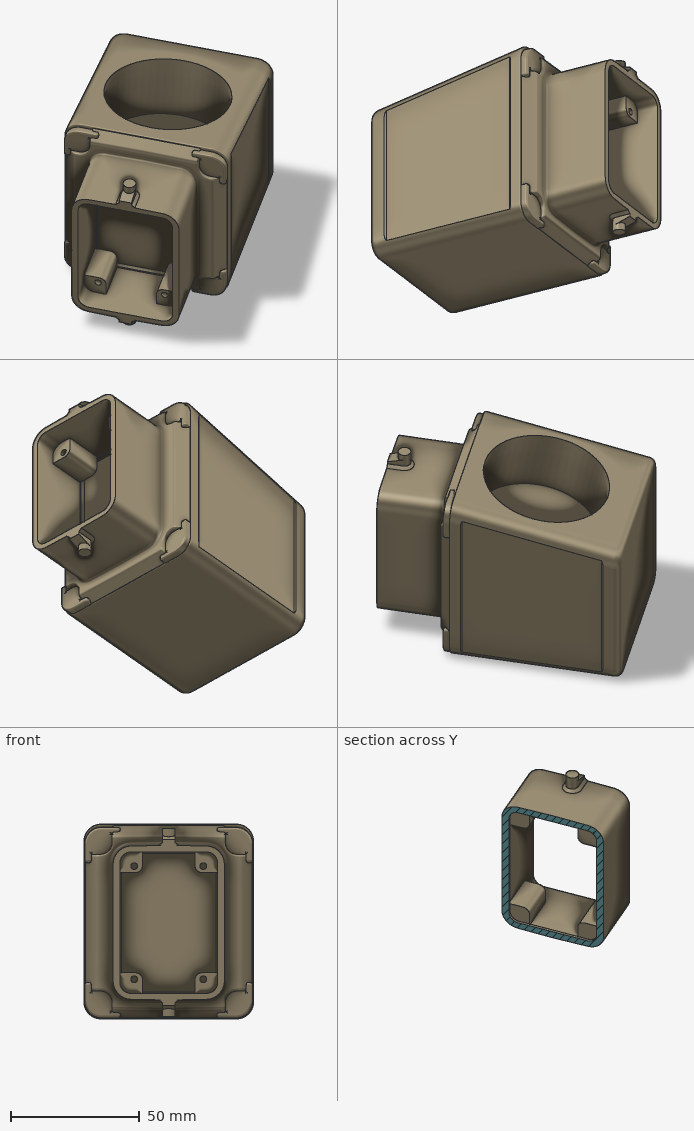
import cadquery as cq
import math


length = 99.5
width = 66.0
height = 75.8
slope_angle = 10.0
hood_front_y = 31.4
crown_drop = 0.4
hood_corner_radius = 6.8
back_edge_radius = 2.8
front_edge_radius = 0.6

recess_front_y = 36.5
recess_back_y = 91.9
recess_depth = 0.4
recess_end_run = 0.7

socket_diameter = 49.7
socket_depth = 25.5
socket_y = 62.8

flange_front_y = 27.0
root_inset = 0.4
flange_face_width = 56.1
flange_face_height = 68.25
flange_edge_radius = 2.0

pad_face_y = 28.7
pad_inner_x = 22.0
pad_leg = 10.4
pad_inner_radius = 4.6
tongue_width = 2.7
side_tongue_length = 3.3
top_tongue_length = 3.2
pad_edge_radius = 0.9
pocket_rim_radius = 0.9

axis_z = 37.4
tube_width = 43.2
tube_height = 60.1
tube_corner_radius = 7.0
tube_wall = 2.6
bore_depth = 24.8
floor_y = 26.7
floor_lip = 0.6
root_radius = 1.4

post_x = 13.4
post_spacing_z = 44.0
post_reach_x = 3.3
post_reach_z = 2.6
post_corner_radius = 2.9
post_front_y = 9.0
screw_hole_diameter = 2.6
screw_hole_depth = 9.9

peg_diameter = 5.0
peg_y = 6.3
peg_top = 36.5
saddle_width = 7.8
saddle_height = 1.2
saddle_sink = 0.1
ramp_low = 32.2
ramp_high = 34.1

slope = math.radians(slope_angle)
pad_outer_x = width / 2 - root_inset
pad_outer_z = 2 * axis_z - root_inset
pad_inner_z = pad_outer_z - pad_leg


def crowned_points(half_width, bottom, top):
    """Corners of a rectangle whose bottom and top sides bulge out at the centre."""
    return [
        (-half_width, bottom + crown_drop),
        (0, bottom),
        (half_width, bottom + crown_drop),
        (half_width, top - crown_drop),
        (0, top),
        (-half_width, top - crown_drop),
    ]


def plane_at(y):
    """Plane facing +Y whose local axes are -X and Z."""
    return cq.Workplane("XZ", origin=(0, y, 0)).transformed(rotate=(0, 180, 0))


def in_four_quadrants(body):
    """Copies of a body mirrored about the planes x = 0 and z = axis_z."""
    pair = body.union(body.mirror("YZ"))
    return pair.union(pair.mirror("XY", (0, 0, axis_z)))


def roof_z(y):
    return height - (y - hood_front_y) * math.tan(slope)


def make_hood():
    hood = (
        cq.Workplane("YZ")
        .moveTo(hood_front_y, 0)
        .lineTo(length, 0)
        .lineTo(length, roof_z(length))
        .lineTo(hood_front_y, height)
        .close()
        .extrude(width / 2, both=True)
    )
    corner_edges = hood.faces("<Z or >Z").edges("not |X")
    hood = corner_edges.fillet(hood_corner_radius)
    hood = hood.faces(">Y").edges().fillet(back_edge_radius)
    return hood.faces("<Y").edges().fillet(front_edge_radius)


def make_recess():
    inner_x = width / 2 - recess_depth
    return (
        cq.Workplane("XY")
        .moveTo(width / 2, recess_front_y - recess_end_run)
        .lineTo(inner_x, recess_front_y)
        .lineTo(inner_x, recess_back_y)
        .lineTo(width / 2, recess_back_y + recess_end_run)
        .close()
        .extrude(height)
    )


def make_socket():
    roof = cq.Plane(
        origin=(0, socket_y, roof_z(socket_y)),
        xDir=(1, 0, 0),
        normal=(0, math.sin(slope), math.cos(slope)),
    )
    socket = cq.Workplane(roof).workplane(offset=-socket_depth)
    return socket.circle(socket_diameter / 2).extrude(2 * socket_depth)


def box_between(low, high):
    size_x, size_y, size_z = (end - start for start, end in zip(low, high))
    return cq.Workplane("XY").box(size_x, size_y, size_z, centered=False).translate(low)


def make_pad_block(front_y, back_y, outer_x, outer_z):
    """Square area of the pad in the top +X corner, with its inner corner rounded."""
    block = box_between((pad_inner_x, front_y, pad_inner_z), (outer_x, back_y, outer_z))
    return block.edges("|Y and <X and <Z").fillet(pad_inner_radius)


def make_pad():
    back_y = hood_front_y + front_edge_radius
    outer_corner = (pad_outer_x, back_y, pad_outer_z)
    top_tongue = (pad_inner_x - top_tongue_length, pad_face_y, pad_outer_z - tongue_width)
    side_tongue = (pad_outer_x - tongue_width, pad_face_y, pad_inner_z - side_tongue_length)
    pad = make_pad_block(pad_face_y, back_y, pad_outer_x, pad_outer_z)
    pad = pad.union(box_between(top_tongue, outer_corner))
    pad = pad.union(box_between(side_tongue, outer_corner))
    pad = pad.edges("|Y and >X and >Z").fillet(hood_corner_radius - root_inset)
    pad = pad.edges("|Y and (<X or <Z)").fillet(pad_edge_radius)
    pad = pad.faces("<Y").edges().fillet(pad_edge_radius)
    sharp_edged_core = make_pad_block(
        pad_face_y, hood_front_y, pad_outer_x - tongue_width, pad_outer_z - tongue_width
    )
    return pad.union(sharp_edged_core)


def make_flange():
    half_height = flange_face_height / 2
    root_points = crowned_points(pad_outer_x, root_inset, height - root_inset)
    face_points = crowned_points(
        flange_face_width / 2, axis_z - half_height, axis_z + half_height
    )
    flange = (
        plane_at(flange_front_y).polyline(face_points).close()
        .workplane(offset=hood_front_y - flange_front_y).polyline(root_points).close()
        .loft(ruled=True)
    )
    flange = flange.faces("<Y").edges().fillet(flange_edge_radius)
    pockets = in_four_quadrants(make_pad_block(flange_front_y, hood_front_y, width / 2, height))
    return flange.cut(pockets).faces("<Y").edges().fillet(pocket_rim_radius)


def make_tube():
    half_height = tube_height / 2
    points = crowned_points(tube_width / 2, axis_z - half_height, axis_z + half_height)
    tube = plane_at(0).polyline(points).close().extrude(hood_front_y)
    corner_edges = tube.edges("|Y").filter(lambda edge: abs(edge.Center().x) > tube_width / 4)
    return corner_edges.fillet(tube_corner_radius)


def make_bore(inset, depth):
    """Rounded opening from the tube mouth, inset from the straight bore wall."""
    bore_width = tube_width - 2 * (tube_wall + inset)
    bore_height = tube_height - 2 * (tube_wall + inset)
    outline = cq.Sketch().rect(bore_width, bore_height)
    outline = outline.vertices().fillet(tube_corner_radius - tube_wall - inset)
    return plane_at(0).center(0, axis_z).placeSketch(outline).extrude(depth)


def make_posts():
    """Four drilled screw posts, reaching past the bore wall into the tube corners."""
    post_z = axis_z + post_spacing_z / 2
    post = box_between(
        (post_x - post_reach_x, post_front_y, post_z - post_reach_z),
        (tube_width / 2, bore_depth, axis_z + tube_height / 2),
    )
    post = post.edges("|Y and <X and <Z").fillet(post_corner_radius)
    hole = plane_at(post_front_y).center(-post_x, post_z)
    hole = hole.circle(screw_hole_diameter / 2).extrude(screw_hole_depth)
    return in_four_quadrants(post.cut(hole))


def make_peg():
    """Upper locking peg with its tapered saddle and lead-in ramp."""
    tube_top = axis_z + tube_height / 2
    buried = 1.0
    inset = (saddle_width - peg_diameter) / 2
    taper = math.degrees(math.atan(inset / saddle_height))
    half = saddle_width / 2
    base = cq.Workplane("XY", origin=(0, 0, tube_top - saddle_sink))
    saddle = (
        base.moveTo(-half, -half).lineTo(-half, peg_y)
        .threePointArc((0, peg_y + half), (half, peg_y))
        .lineTo(half, -half).close()
        .extrude(saddle_height, taper=taper)
    )
    mouth_side = cq.Workplane("XY").box(width, length, height, centered=(True, False, False))
    saddle = saddle.intersect(mouth_side)
    ramp = (
        cq.Workplane("YZ")
        .moveTo(0, tube_top - buried)
        .lineTo(0, axis_z + ramp_low)
        .lineTo(peg_y, axis_z + ramp_high)
        .lineTo(peg_y, tube_top - buried)
        .close()
        .extrude(peg_diameter / 2, both=True)
    )
    pin_start = tube_top - buried
    pin = cq.Workplane("XY", origin=(0, peg_y, pin_start))
    pin = pin.circle(peg_diameter / 2).extrude(axis_z + peg_top - pin_start)
    return saddle.union(ramp).union(pin)


hood = make_hood()
recess = make_recess()
hood = hood.cut(recess).cut(recess.mirror("YZ")).cut(make_socket())

margin = 0.5
tube_zone = cq.selectors.BoxSelector(
    (-tube_width / 2 - margin, flange_front_y - margin, axis_z - tube_height / 2 - margin),
    (tube_width / 2 + margin, flange_front_y + margin, axis_z + tube_height / 2 + margin),
    boundingbox=True,
)
body = make_flange().union(make_tube())
body = body.edges(tube_zone).fillet(root_radius)

peg = make_peg()
pegs = peg.union(peg.mirror("XY", (0, 0, axis_z)))

bore = make_bore(0, bore_depth)
floor_recess = make_bore(floor_lip, floor_y)
posts = make_posts().intersect(bore)

result = hood.union(body).union(in_four_quadrants(make_pad()))
result = result.cut(bore).cut(floor_recess).union(posts).union(pegs)